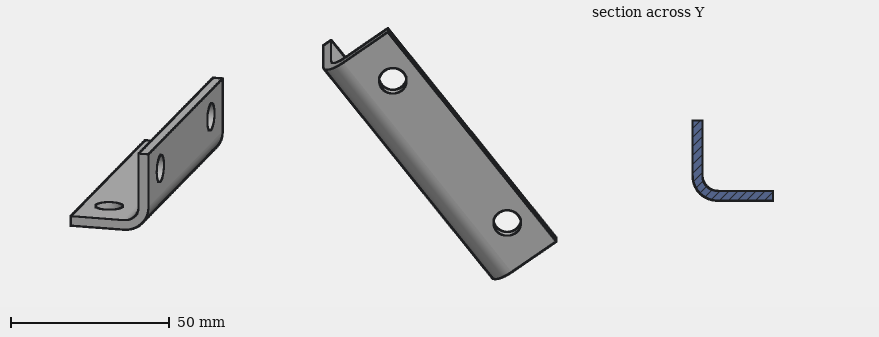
import cadquery as cq
import math

leg = 25.34
length = 88.91
thickness = 3.175
inner_radius = 4.7625
hole_diameter = 8.64
hole_spacing = 60.325
hole_offset = 8.64

outer_radius = inner_radius + thickness
flat = leg - outer_radius


def bend_midpoint(radius):
    """Middle of a bend arc; both arcs share the centre (flat, outer_radius)."""
    reach = radius * math.sqrt(0.5)
    return (flat + reach, outer_radius - reach)


def make_angle():
    """Bent sheet: horizontal leg at the bottom, upright leg on the +X side."""
    return (
        cq.Workplane("XZ")
        .lineTo(flat, 0)
        .threePointArc(bend_midpoint(outer_radius), (leg, outer_radius))
        .lineTo(leg, leg)
        .lineTo(leg - thickness, leg)
        .lineTo(leg - thickness, outer_radius)
        .threePointArc(bend_midpoint(inner_radius), (flat, thickness))
        .lineTo(0, thickness)
        .close()
        .extrude(-length)
    )


def floor_hole(y):
    """Vertical hole cutter through the horizontal leg."""
    start = cq.Vector(hole_offset, y, 0)
    return cq.Solid.makeCylinder(hole_diameter / 2, thickness, start, cq.Vector(0, 0, 1))


def wall_hole(y):
    """Cutter along X through the upright leg."""
    start = cq.Vector(leg - thickness, y, leg - hole_offset)
    return cq.Solid.makeCylinder(hole_diameter / 2, thickness, start, cq.Vector(1, 0, 0))


result = make_angle()
for side in (-1, 1):
    hole_y = (length + side * hole_spacing) / 2
    result = result.cut(floor_hole(hole_y)).cut(wall_hole(hole_y))